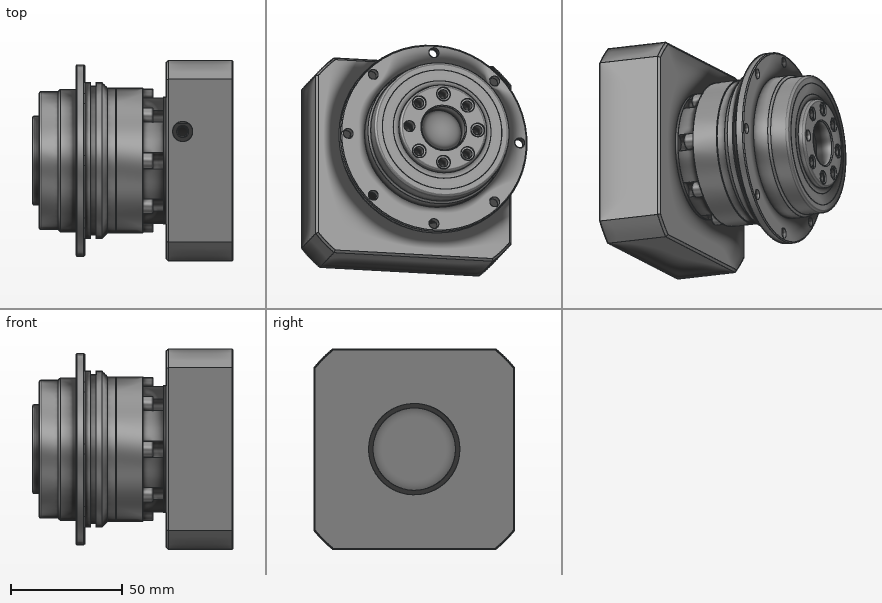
import cadquery as cq
import math


face_x = 3.0
step_x = 11.5
flange_x = 19.5
flange_thickness = 4.0
flange_back_x = flange_x + flange_thickness
band_width = 2.55
groove_x = flange_back_x + band_width
groove_back_x = groove_x + band_width
cone_x = groove_back_x + band_width
joint_x = 37.5
ring_back_x = 49.5
collar_x = 58.75
adapter_x = 60.0
adapter_back_x = 90.0

hub_radius = 20.0
face_fillet = 1.0
nose_radius = 31.0
seal_inner_radius = 22.5
seal_outer_radius = 27.5
seal_recess = 0.1
pilot_radius = 32.0
flange_radius = 43.0
flange_chamfer = 0.5
band_radius = 35.0
groove_radius = 33.5
body_radius = 32.5
joint_chamfer = 0.2

bore_radius = 10.0
bore_depth = 8.0
bore_chamfer = 0.5

hole_count = 8
output_circle_radius = 15.75
thread_radius = 2.1
thread_depth = 8.0
counterbore_radius = 3.1
counterbore_depth = 0.8
dowel_radius = 2.5
dowel_depth = 5.0
dowel_angle = 0
drill_point_angle = 118.0

flange_circle_radius = 39.5
flange_hole_radius = 2.25

neck_radius = 28.4
collar_radius = 28.5
screw_circle_radius = 28.6
screw_head_radius = 3.5
screw_head_length = 4.6
screw_head_fillet = 0.5
slot_radius = 3.75
clamp_radius = 18.5
clamp_length = 15.0
clamp_screw_x = 67.4
clamp_screw_y = 13.1
clamp_screw_radius = 2.1
clamp_screw_chamfer = 0.6
clamp_flat_edge_y = 16.7
clamp_flat_z = math.sqrt(clamp_radius**2 - clamp_flat_edge_y**2)

adapter_width = 90.0
adapter_corner_radius = 58.0
adapter_front_chamfer = 1.0
adapter_back_chamfer = 0.5
adapter_bore_radius = 20.5
access_hole_radius = 4.5


def rod(x_start, x_end, radius, y=0.0, z=0.0):
    """Solid cylinder parallel to X between two stations."""
    return cq.Workplane("YZ", origin=(x_start, y, z)).circle(radius).extrude(x_end - x_start)


def revolved(profile):
    """Solid of revolution about X from (x, radius) points that run between two points on the axis."""
    return cq.Workplane("XY").polyline(profile).close().revolve(360, (0, 0, 0), (1, 0, 0))


def ring_positions(circle_radius):
    """Angle and (y, z) of each place on an evenly spaced ring that starts on +Y."""
    places = []
    for index in range(hole_count):
        angle = index * 360 / hole_count
        y = circle_radius * math.cos(math.radians(angle))
        z = circle_radius * math.sin(math.radians(angle))
        places.append((angle, y, z))
    return places


def drilled_hole(radius, depth):
    """Blind hole from x = 0 on the X axis, with a conical drill point."""
    point_length = radius / math.tan(math.radians(drill_point_angle / 2))
    return revolved([(0, 0), (0, radius), (depth, radius), (depth + point_length, 0)])


def output_holes():
    """Counterbored threaded holes in the output face, with one plain dowel hole on the +Y side."""
    cutters = []
    for angle, y, z in ring_positions(output_circle_radius):
        if angle == dowel_angle:
            entry = rod(0, dowel_depth, dowel_radius)
        else:
            entry = rod(0, counterbore_depth, counterbore_radius)
        hole = drilled_hole(thread_radius, thread_depth).union(entry)
        cutters.append(hole.translate((0, y, z)))
    return cutters


def make_front_unit():
    """Output hub, nose with a shallow seal recess, pilot, drilled flange and grooved body as one solid."""
    hub = rod(0, face_x, hub_radius).faces("<X").edges().fillet(face_fillet)
    nose = rod(face_x, step_x, nose_radius).faces("<X").edges().fillet(face_fillet)
    seal_floor_x = face_x + seal_recess
    seal_groove = rod(face_x, seal_floor_x, seal_outer_radius)
    seal_groove = seal_groove.cut(rod(face_x, seal_floor_x, seal_inner_radius))
    flange_body = revolved([
        (step_x, 0),
        (step_x, nose_radius),
        (step_x + pilot_radius - nose_radius, pilot_radius),
        (flange_x, pilot_radius),
        (flange_x, flange_radius - flange_chamfer),
        (flange_x + flange_chamfer, flange_radius),
        (flange_back_x - flange_chamfer, flange_radius),
        (flange_back_x, flange_radius - flange_chamfer),
        (flange_back_x, band_radius),
        (groove_x, band_radius),
        (groove_x, groove_radius),
        (groove_back_x, groove_radius),
        (groove_back_x, band_radius),
        (cone_x, band_radius),
        (cone_x + band_radius - body_radius, body_radius),
        (joint_x - joint_chamfer, body_radius),
        (joint_x, body_radius - joint_chamfer),
        (joint_x, 0),
    ])
    body = flange_body.union(nose).cut(seal_groove).union(hub)
    bore = revolved([
        (0, 0),
        (0, bore_radius + bore_chamfer),
        (bore_chamfer, bore_radius),
        (bore_depth, bore_radius),
        (bore_depth, 0),
    ])
    body = body.cut(bore)
    for hole in output_holes():
        body = body.cut(hole)
    for _, y, z in ring_positions(flange_circle_radius):
        body = body.cut(rod(flange_x, flange_back_x, flange_hole_radius, y, z))
    return body


def screw_head(y, z):
    """Round screw head on the back of the ring gear."""
    head_end_x = ring_back_x + screw_head_length
    head = rod(ring_back_x, head_end_x, screw_head_radius, y, z)
    return head.faces(">X").edges().fillet(screw_head_fillet)


def make_clamp_hub():
    """Input clamp hub with a spot face for the clamp screw and a countersunk hole down through it."""
    hub = rod(adapter_x, adapter_x + clamp_length, clamp_radius)
    screw_axis = cq.Workplane("XY", origin=(clamp_screw_x, clamp_screw_y, clamp_flat_z))
    spot_face = screw_axis.circle(access_hole_radius).extrude(clamp_radius)
    screw_hole = screw_axis.circle(clamp_screw_radius).extrude(-2 * clamp_radius)
    countersink = (
        screw_axis.circle(clamp_screw_radius + clamp_screw_chamfer)
        .workplane(offset=-clamp_screw_chamfer)
        .circle(clamp_screw_radius)
        .loft(combine=False)
    )
    return hub.cut(spot_face).cut(screw_hole).cut(countersink)


def make_rear_unit():
    """Ring gear body, neck with a slot around each screw head, collar and input clamp hub as one solid."""
    body = revolved([
        (joint_x, 0),
        (joint_x, body_radius - joint_chamfer),
        (joint_x + joint_chamfer, body_radius),
        (ring_back_x - joint_chamfer, body_radius),
        (ring_back_x, body_radius - joint_chamfer),
        (ring_back_x, neck_radius),
        (collar_x, neck_radius),
        (collar_x, collar_radius),
        (adapter_x, collar_radius),
        (adapter_x, 0),
    ])
    for _, y, z in ring_positions(screw_circle_radius):
        body = body.cut(rod(ring_back_x, collar_x, slot_radius, y, z))
        body = body.union(screw_head(y, z))
    return body.union(make_clamp_hub())


def make_adapter():
    """Square plate with its corners turned round, chamfered ends and a bore around the clamp hub."""
    half_width = adapter_width / 2
    length = adapter_back_x - adapter_x
    plate = (
        cq.Workplane("YZ", origin=(adapter_x, 0, 0))
        .rect(adapter_width, adapter_width)
        .extrude(length)
        .intersect(rod(adapter_x, adapter_back_x, adapter_corner_radius))
    )
    plate = plate.faces("<X").chamfer(adapter_front_chamfer)
    plate = plate.faces(">X").chamfer(adapter_back_chamfer)
    plate = plate.cut(rod(adapter_x, adapter_back_x, adapter_bore_radius))
    access_hole = (
        cq.Workplane("XY", origin=(clamp_screw_x, clamp_screw_y, 0))
        .circle(access_hole_radius)
        .extrude(half_width)
    )
    return plate.cut(access_hole)


front_unit = make_front_unit()
rear_unit = make_rear_unit()
adapter = make_adapter()

result = cq.Compound.makeCompound([front_unit.val(), rear_unit.val(), adapter.val()])